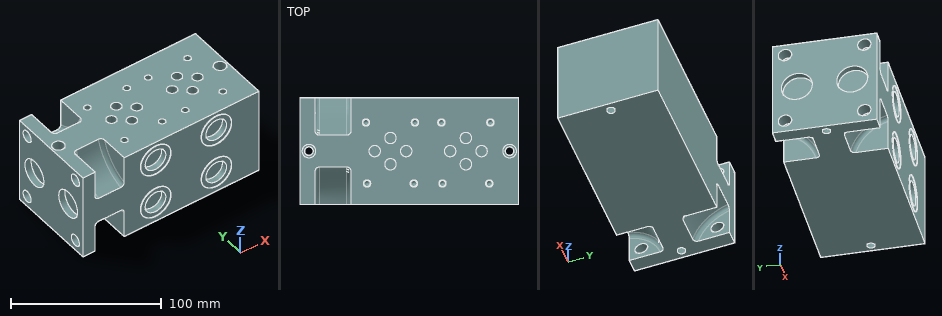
import cadquery as cq
import math

length = 145.0
width = 71.0
height = 70.5

flange_thickness = 10.0
notch_end = 34.0
notch_depth = 25.0
notch_floor_radius = 35.0
notch_fillet = 2.9

station_positions = (60.0, 110.0)

side_port_heights = (16.7, 54.4)
side_port_diameter = 17.0
side_port_depth = 5.1
side_seat_diameter = 25.0
side_seat_depth = 0.5

valve_port_diameter = 7.5
valve_port_depth = 11.6
valve_port_offset_x = 10.5
valve_port_offset_y = 8.7

thread_diameter = 5.0
thread_depth = 11.6
core_diameter = 4.0
core_depth = 14.5
drill_point_angle = 118.0
rear_tap_offset_x = 16.2
rear_tap_offset_y = 19.0
front_tap_offset_x = 15.5
front_tap_offset_y = -21.5

fixing_end_distance = 6.0
fixing_diameter = 5.5
fixing_bore_diameter = 9.0
fixing_bore_depth = 8.7

main_port_diameter = 21.0
main_port_spacing = 37.7
main_port_depth = 5.1
main_port_height = 35.4
flange_hole_diameter = 9.0
flange_hole_spacing_y = 54.0
flange_hole_heights = (8.7, 62.4)


def hole(position, direction, diameter, depth):
    """Flat-bottomed cylinder from a point on a face into the block."""
    cylinder = cq.Solid.makeCylinder(diameter / 2, depth, cq.Vector(position), cq.Vector(direction))
    return cq.Workplane(cylinder)


def tapped_hole(x, y):
    """Threaded bore in the top face, over a narrower core hole that ends in a conical drill point."""
    thread_radius = thread_diameter / 2
    core_radius = core_diameter / 2
    point_length = core_radius / math.tan(math.radians(drill_point_angle / 2))
    half_section = (
        cq.Workplane("XZ")
        .lineTo(thread_radius, 0)
        .lineTo(thread_radius, -thread_depth)
        .lineTo(core_radius, -thread_depth)
        .lineTo(core_radius, -core_depth)
        .lineTo(0, -core_depth - point_length)
        .close()
    )
    return half_section.revolve(360, (0, 0, 0), (0, 1, 0)).translate((x, y, height))


def corner_notch():
    """Notch at the -Y, +Z edge of the block, with a concave floor rounded into its end walls."""
    outer_y = -width / 2
    inner_y = outer_y + notch_depth
    low_z = height - notch_depth
    half_chord = notch_depth / math.sqrt(2)
    sagitta = notch_floor_radius - math.sqrt(notch_floor_radius**2 - half_chord**2)
    middle_y = outer_y + notch_depth / 2 + sagitta / math.sqrt(2)
    middle_z = height - notch_depth / 2 - sagitta / math.sqrt(2)
    notch = (
        cq.Workplane("YZ", origin=(flange_thickness, 0, 0))
        .moveTo(outer_y, height)
        .lineTo(inner_y, height)
        .threePointArc((middle_y, middle_z), (outer_y, low_z))
        .close()
        .extrude(notch_end - flange_thickness)
    )
    floor_edges = notch.edges("%CIRCLE")
    return floor_edges.fillet(notch_fillet)


result = cq.Workplane("XY").box(length, width, height, centered=(False, True, False))

upper_front_notch = corner_notch()
upper_rear_notch = upper_front_notch.mirror("XZ")
for notch in (upper_front_notch, upper_rear_notch):
    result = result.cut(notch)
    result = result.cut(notch.mirror("XY", (0, 0, height / 2)))

for station in station_positions:
    for z in side_port_heights:
        face_point = (station, -width / 2, z)
        result = result.cut(hole(face_point, (0, 1, 0), side_port_diameter, side_port_depth))
        result = result.cut(hole(face_point, (0, 1, 0), side_seat_diameter, side_seat_depth))

    for side in (-1, 1):
        for x, y in ((side * valve_port_offset_x, 0), (0, side * valve_port_offset_y)):
            port = hole((station + x, y, height), (0, 0, -1), valve_port_diameter, valve_port_depth)
            result = result.cut(port)

    for side in (-1, 1):
        result = result.cut(tapped_hole(station + side * rear_tap_offset_x, rear_tap_offset_y))
        result = result.cut(tapped_hole(station + side * front_tap_offset_x, front_tap_offset_y))

for x in (fixing_end_distance, length - fixing_end_distance):
    face_point = (x, 0, height)
    result = result.cut(hole(face_point, (0, 0, -1), fixing_diameter, height))
    result = result.cut(hole(face_point, (0, 0, -1), fixing_bore_diameter, fixing_bore_depth))

for side in (-1, 1):
    port_point = (0, side * main_port_spacing / 2, main_port_height)
    result = result.cut(hole(port_point, (1, 0, 0), main_port_diameter, main_port_depth))
    for z in flange_hole_heights:
        hole_point = (0, side * flange_hole_spacing_y / 2, z)
        result = result.cut(hole(hole_point, (1, 0, 0), flange_hole_diameter, flange_thickness))